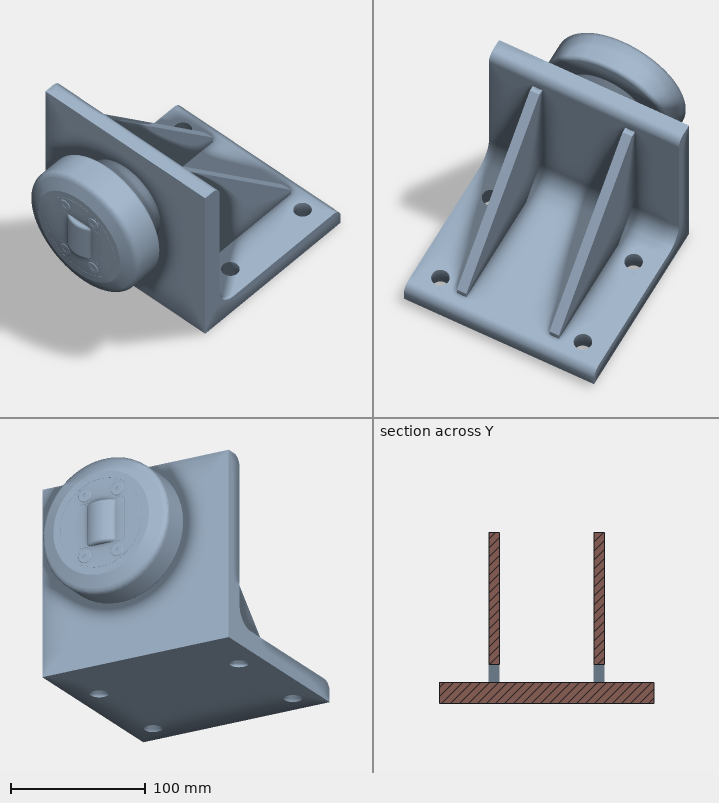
import cadquery as cq
import math

bracket_width = 160.0
leg_length = 150.0
leg_thickness = 16.0
root_radius = 16.0
toe_radius = 8.0

hole_diameter = 13.84
hole_half_spacing_x = 60.0
hole_positions_y = (50.0, 130.0)

rib_thickness = 8.0
rib_gap = 70.0
rib_reach = 120.0
rib_tip = 4.5
rib_clearance = 26.0

bearing_height = 90.0
collar_diameter = 71.0
collar_chamfer_radial = 0.25
collar_chamfer_axial = 0.6
roller_diameter = 107.7
roller_back = 20.0
roller_front = 51.0
roller_back_radius = 3.0
roller_front_radius = 5.0
roller_face_diameter = 82.0
roller_bevel_depth = 5.0

cover_bore_diameter = 70.5
cover_groove_width = 0.2
cover_groove_depth = 0.2

axial_roller_diameter = 40.0
axial_roller_length = 34.3
axial_roller_fillet = 2.4
axial_roller_tip = 55.1

window_width = 40.0
window_height = 35.0
window_corner_radius = 1.5
window_groove_width = 0.2
window_groove_depth = 0.2

screw_offset_x = 14.0
screw_offset_z = 24.3
screw_head_diameter = 10.5
screw_top_diameter = 9.75
screw_head_height = 0.5
socket_across_flats = 3.0
socket_depth = 0.4


def bearing_plane(distance):
    """Plane facing -Y, centred on the bearing axis, at a distance from the upright flange."""
    return cq.Workplane("XZ", origin=(0, -distance, bearing_height))


def make_bracket():
    profile = (
        cq.Workplane("YZ")
        .polyline([
            (0, 0),
            (leg_length, 0),
            (leg_length, leg_thickness),
            (leg_thickness, leg_thickness),
            (leg_thickness, leg_length),
            (0, leg_length),
        ])
        .close()
        .extrude(bracket_width / 2, both=True)
    )
    root = cq.selectors.NearestToPointSelector((0, leg_thickness, leg_thickness))
    base_toe = cq.selectors.NearestToPointSelector((0, leg_length, leg_thickness))
    upright_toe = cq.selectors.NearestToPointSelector((0, leg_thickness, leg_length))
    bracket = profile.edges("|X").edges(root).fillet(root_radius)
    bracket = bracket.edges("|X").edges(base_toe).fillet(toe_radius)
    bracket = bracket.edges("|X").edges(upright_toe).fillet(toe_radius)
    hole_centres = [(side * hole_half_spacing_x, y) for side in (-1, 1) for y in hole_positions_y]
    holes = (
        cq.Workplane("XY")
        .pushPoints(hole_centres)
        .circle(hole_diameter / 2)
        .extrude(leg_thickness)
    )
    return bracket.cut(holes)


def make_rib(start_x):
    inner = leg_thickness
    outer = inner + rib_reach
    return (
        cq.Workplane("YZ", origin=(start_x, 0, 0))
        .polyline([
            (inner + rib_clearance, inner),
            (outer, inner),
            (outer, inner + rib_tip),
            (inner + rib_tip, outer),
            (inner, outer),
            (inner, inner + rib_clearance),
        ])
        .close()
        .extrude(rib_thickness)
    )


def make_collar():
    radius = collar_diameter / 2
    end_radius = radius - collar_chamfer_radial
    return (
        cq.Workplane("XY", origin=(0, 0, bearing_height))
        .polyline([
            (0, 0),
            (end_radius, 0),
            (radius, -collar_chamfer_axial),
            (radius, collar_chamfer_axial - roller_back),
            (end_radius, -roller_back),
            (0, -roller_back),
        ])
        .close()
        .revolve(360, (0, 0, 0), (0, 1, 0))
    )


def make_roller():
    radius = roller_diameter / 2
    bevel_start = roller_front - roller_bevel_depth
    roller = (
        cq.Workplane("XY", origin=(0, 0, bearing_height))
        .polyline([
            (0, -roller_back),
            (radius, -roller_back),
            (radius, -bevel_start),
            (roller_face_diameter / 2, -roller_front),
            (0, -roller_front),
        ])
        .close()
        .revolve(360, (0, 0, 0), (0, 1, 0))
    )
    roller = roller.edges(">Y").fillet(roller_back_radius)
    edge_margin = 1.0
    bevel_edge = cq.selectors.BoxSelector(
        (-roller_diameter, -bevel_start - edge_margin, bearing_height - roller_diameter),
        (roller_diameter, -bevel_start + edge_margin, bearing_height + roller_diameter),
        boundingbox=True,
    )
    roller = roller.edges(bevel_edge).fillet(roller_front_radius)
    cover_groove = (
        bearing_plane(roller_front - cover_groove_depth)
        .circle(cover_bore_diameter / 2)
        .circle(cover_bore_diameter / 2 - cover_groove_width)
        .extrude(cover_groove_depth)
    )
    return roller.cut(cover_groove)


def window_block(margin):
    """Rounded block, one groove depth thick, shrunk all round by a margin."""
    return (
        bearing_plane(roller_front - window_groove_depth)
        .rect(window_width - 2 * margin, window_height - 2 * margin)
        .extrude(window_groove_depth)
        .edges("|Y")
        .fillet(window_corner_radius - margin)
    )


def make_axial_roller():
    centre_y = axial_roller_diameter / 2 - axial_roller_tip
    bottom = bearing_height - axial_roller_length / 2
    roller = (
        cq.Workplane("XY", origin=(0, centre_y, bottom))
        .circle(axial_roller_diameter / 2)
        .extrude(axial_roller_length)
        .edges("%CIRCLE")
        .fillet(axial_roller_fillet)
    )
    keep = bearing_plane(roller_back).rect(roller_diameter, roller_diameter).extrude(axial_roller_tip)
    return roller.intersect(keep)


def make_screw(x, z):
    chamfer = (screw_head_diameter - screw_top_diameter) / 2
    head = (
        bearing_plane(roller_front)
        .center(x, z)
        .circle(screw_head_diameter / 2)
        .extrude(screw_head_height)
        .faces("<Y")
        .edges()
        .chamfer(chamfer)
    )
    socket = (
        bearing_plane(roller_front + screw_head_height - socket_depth)
        .center(x, z)
        .polygon(6, socket_across_flats / math.cos(math.pi / 6))
        .extrude(socket_depth)
    )
    return head.cut(socket)


result = make_bracket()
for rib_start in (-rib_gap / 2 - rib_thickness, rib_gap / 2):
    result = result.union(make_rib(rib_start))
result = result.union(make_collar()).union(make_roller())
result = result.cut(window_block(0).cut(window_block(window_groove_width)))
result = result.union(make_axial_roller())
for side_x in (-1, 1):
    for side_z in (-1, 1):
        result = result.union(make_screw(side_x * screw_offset_x, side_z * screw_offset_z))